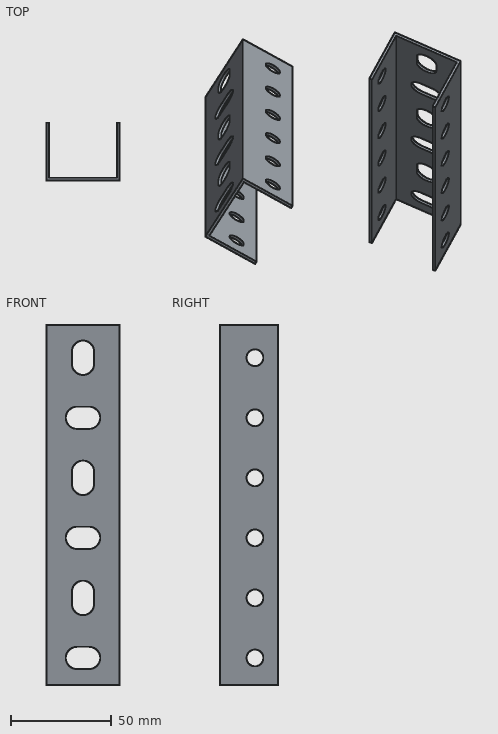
import cadquery as cq

width = 36.7
depth = 29.0
length = 180.0
thickness = 1.5

hole_count = 6
pitch = length / hole_count
top_margin = 16.4
slot_length = 17.1
slot_width = 11.0
flange_hole_diameter = 8.3
flange_hole_setback = 11.5


def channel():
    """U-shaped profile, open toward +Y, extruded along Z from the origin."""
    outer = cq.Workplane("XY").box(width, depth, length, centered=(True, False, False))
    inner = (
        cq.Workplane("XY")
        .box(width - 2 * thickness, depth, length, centered=(True, False, False))
        .translate((0, thickness, 0))
    )
    return outer.cut(inner)


def web_slot(height, angle):
    """Cutter for one rounded slot through the web; angle 90 stands it upright."""
    return (
        cq.Workplane("XZ")
        .center(0, height)
        .slot2D(slot_length, slot_width, angle)
        .extrude(thickness, both=True)
    )


def flange_holes(height):
    """Cutter for the aligned pair of round holes through both flanges."""
    return (
        cq.Workplane("YZ")
        .center(depth - flange_hole_setback, height)
        .circle(flange_hole_diameter / 2)
        .extrude(width, both=True)
    )


result = channel()
for index in range(hole_count):
    hole_height = length - top_margin - index * pitch
    slot_angle = 90 if index % 2 == 0 else 0
    result = result.cut(web_slot(hole_height, slot_angle))
    result = result.cut(flange_holes(hole_height))